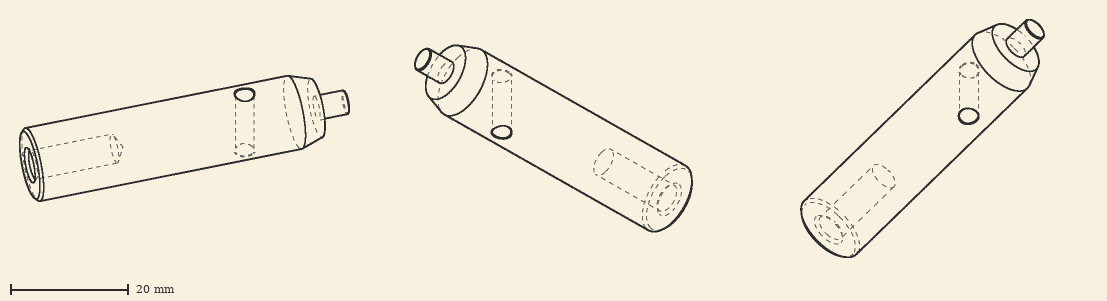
import cadquery as cq
import math

total_length = 56.15
handle_diameter = 12.7
pin_diameter = 4.15
pin_length = 5.3
pin_chamfer = 0.15

nose_length = 3.9
nose_end_diameter = 10.15
rear_chamfer = 0.5

bore_diameter = 5.0
bore_depth = 15.0
bore_chamfer = 0.55
drill_point_angle = 118.0

cross_hole_diameter = 3.2
cross_hole_chamfer = 0.14
cross_hole_from_tip = 18.0

rear_y = -total_length / 2
tip_y = total_length / 2
nose_end_y = tip_y - pin_length
nose_start_y = nose_end_y - nose_length
bore_floor_y = rear_y + bore_depth
cross_hole_y = tip_y - cross_hole_from_tip

handle_radius = handle_diameter / 2
nose_end_radius = nose_end_diameter / 2
bore_radius = bore_diameter / 2
pin_radius = pin_diameter / 2


def revolve_about_y(points):
    """Solid of revolution from a closed (radius, y) outline."""
    return cq.Workplane("XY").polyline(points).close().revolve(360, (0, 0, 0), (0, 1, 0))


def make_bore_cutter():
    """Countersunk bore with a conical drill point."""
    point_length = bore_radius / math.tan(math.radians(drill_point_angle / 2))
    return revolve_about_y([
        (0, rear_y),
        (bore_radius + bore_chamfer, rear_y),
        (bore_radius, rear_y + bore_chamfer),
        (bore_radius, bore_floor_y),
        (0, bore_floor_y + point_length),
    ])


def make_cross_hole_cutter():
    """Cylinder spanning the full handle thickness along Z."""
    return (
        cq.Workplane("XY", origin=(0, cross_hole_y, 0))
        .circle(cross_hole_diameter / 2)
        .extrude(handle_radius, both=True)
    )


def chamfer_cross_hole(body):
    """Break both rims where the cross hole meets the round outside."""
    zone_reach = cross_hole_diameter
    for side in (-1, 1):
        rim_zone = cq.selectors.BoxSelector(
            (-zone_reach, cross_hole_y - zone_reach, 0),
            (zone_reach, cross_hole_y + zone_reach, side * handle_diameter),
            boundingbox=True,
        )
        body = body.edges(rim_zone).chamfer(cross_hole_chamfer)
    return body


def make_handle():
    """Round handle with a tapered nose, a rear bore and a cross hole."""
    blank = revolve_about_y([
        (0, rear_y),
        (handle_radius - rear_chamfer, rear_y),
        (handle_radius, rear_y + rear_chamfer),
        (handle_radius, nose_start_y),
        (nose_end_radius, nose_end_y),
        (0, nose_end_y),
    ])
    drilled = blank.cut(make_cross_hole_cutter())
    chamfered = chamfer_cross_hole(drilled)
    return chamfered.cut(make_bore_cutter())


def make_pin():
    """Chamfered pin standing on the nose face of the handle."""
    return revolve_about_y([
        (0, nose_end_y),
        (pin_radius, nose_end_y),
        (pin_radius, tip_y - pin_chamfer),
        (pin_radius - pin_chamfer, tip_y),
        (0, tip_y),
    ])


handle = make_handle()
pin = make_pin()
result = cq.Compound.makeCompound([handle.val(), pin.val()])